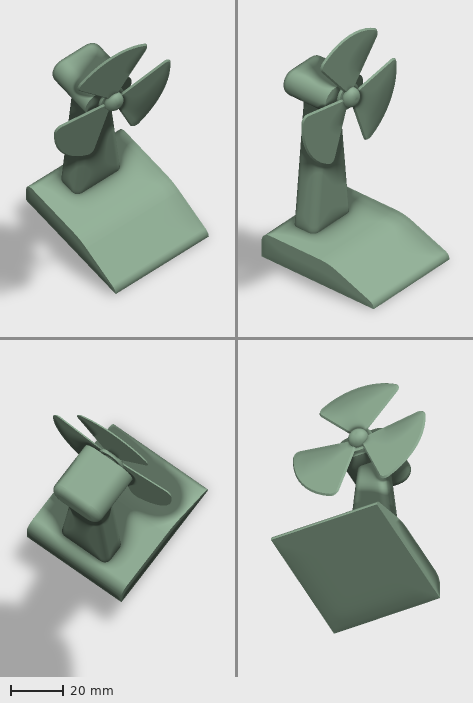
import cadquery as cq
import math

total_height = 101.3
base_length = 56.3
base_width = 45.0
base_height = 11.2
ramp_start = 33.7
ramp_end_height = 2.2
rear_round = 4.1
ramp_round = 22.3
nose_round = 3.2

head_length = 22.5
head_width = 22.5
head_height = 11.2
head_round = 2.8
column_depth = 11.2
column_bottom_width = head_width
column_top_width = 11.2
column_corner_round = 2.8
column_x = head_length / 2

fan_radius = 28.2
blade_count = 3
blade_half_angle = 40.0
blade_corner_round = 2.8
blade_thickness = 0.7
blade_bevel_angle = 40.0
hub_diameter = 11.2
hub_thickness = 1.2
dome_diameter = 8.1
dome_length = 3.2
dome_round = 3.1

shaft_diameter = 4.6
collar_diameter = 7.0
collar_length = 1.1

axis_z = total_height - fan_radius
head_bottom = axis_z - head_height / 2
hub_x = head_length + collar_length
blade_x = hub_x + hub_thickness
dome_x = blade_x + blade_thickness


def plane_across_axis(x):
    """Plane facing +X with its origin on the fan axis; local x is Y, local y is Z."""
    return cq.Workplane("YZ", origin=(x, 0, axis_z))


def disc(x, diameter, length):
    """Cylinder on the fan axis that starts at x and runs toward +X."""
    return plane_across_axis(x).circle(diameter / 2).extrude(length)


def make_base():
    profile = [
        (0, 0),
        (base_length, 0),
        (base_length, ramp_end_height),
        (ramp_start, base_height),
        (0, base_height),
    ]
    slab = cq.Workplane("XZ").polyline(profile).close().extrude(base_width / 2, both=True)
    slab = slab.edges(cq.NearestToPointSelector((0, 0, base_height))).fillet(rear_round)
    slab = slab.edges(cq.NearestToPointSelector((ramp_start, 0, base_height))).fillet(ramp_round)
    return slab.edges(cq.NearestToPointSelector((base_length, 0, ramp_end_height))).fillet(nose_round)


def make_column():
    """Ruled loft between two rounded rectangles, narrowing in Y only."""
    bottom = cq.Sketch().rect(column_depth, column_bottom_width).vertices().fillet(column_corner_round)
    top = cq.Sketch().rect(column_depth, column_top_width).vertices().fillet(column_corner_round)
    rise = head_bottom - base_height
    return (
        cq.Workplane("XY", origin=(column_x, 0, base_height))
        .placeSketch(bottom, top.moved(cq.Location(cq.Vector(0, 0, rise))))
        .loft(ruled=True)
    )


def make_head():
    """Stadium-shaped housing with a rounded rear rim and a bore for the shaft."""
    body = plane_across_axis(0).slot2D(head_width, head_height).extrude(head_length)
    body = body.faces("<X").edges().fillet(head_round)
    return body.cut(disc(0, shaft_diameter, head_length))


def make_shaft():
    rod = disc(0, shaft_diameter, head_length)
    return rod.union(disc(head_length, collar_diameter, collar_length))


def make_blade():
    """Circular sector pointing up, with rounded outer corners and a rim beveled toward the front."""
    half_angle = math.radians(blade_half_angle)
    tip_y = fan_radius * math.sin(half_angle)
    tip_z = fan_radius * math.cos(half_angle)
    outline = (
        cq.Sketch()
        .segment((0, 0), (tip_y, tip_z))
        .arc((tip_y, tip_z), (0, fan_radius), (-tip_y, tip_z))
        .close()
        .assemble()
        .vertices("<X or >X")
        .fillet(blade_corner_round)
    )
    return plane_across_axis(blade_x).placeSketch(outline).extrude(blade_thickness, taper=blade_bevel_angle)


def make_fan():
    dome = disc(dome_x, dome_diameter, dome_length).faces(">X").edges().fillet(dome_round)
    core = disc(blade_x, dome_diameter, blade_thickness)
    fan = disc(hub_x, hub_diameter, hub_thickness).union(core).union(dome)
    blade = make_blade()
    for index in range(blade_count):
        turn = index * 360 / blade_count
        fan = fan.union(blade.rotate((0, 0, axis_z), (1, 0, axis_z), turn))
    return fan


base = make_base()
column = make_column()
head = make_head()
shaft = make_shaft()
fan = make_fan()

result = cq.Compound.makeCompound([base.val(), column.val(), head.val(), shaft.val(), fan.val()])